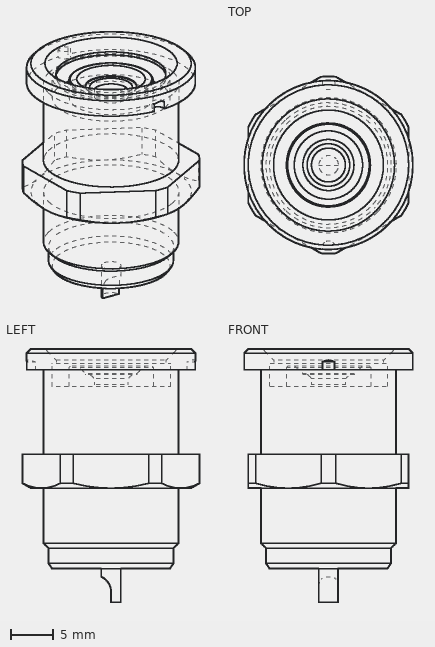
import cadquery as cq
import math

TOTAL_HEIGHT = 30.0
PIN_LENGTH = 4.0
COLLAR_CHAMFER_HEIGHT = 0.6
COLLAR_TOP_Z = 6.42
BODY_BOTTOM_Z = 7.0
NUT_BOTTOM_Z = 13.5
NUT_HEIGHT = 4.02
FLANGE_THICKNESS = 2.5
FLANGE_CHAMFER = 0.5

FLANGE_DIAMETER = 20.0
BODY_DIAMETER = 16.02
COLLAR_DIAMETER = 14.82
BODY_END_DIAMETER = 13.98
PIN_DIAMETER = 2.3

NUT_ACROSS_FLATS = 19.0
NUT_ACROSS_CORNERS = 21.0
NUT_CHAMFER_ANGLE = 30.0

MOUTH_RADIUS = 7.83
LIP_RADIUS = 6.5
LIP_TOP_DEPTH = MOUTH_RADIUS - LIP_RADIUS
LIP_BOTTOM_DEPTH = 1.7
SOCKET_RADIUS = 7.0
SOCKET_DEPTH = 4.4

BOSS_RADIUS = 4.98
BOSS_CHAMFER = 0.15
BOSS_TOP_DEPTH = 2.0
FUNNEL_TOP_RADIUS = 4.05
FUNNEL_BOTTOM_RADIUS = 3.03
FUNNEL_BOTTOM_DEPTH = 2.9
RING_DEPTH = 3.0
RING_INNER_RADIUS = 2.52
BORE_RADIUS = 2.0
BORE_TOP_DEPTH = RING_DEPTH + RING_INNER_RADIUS - BORE_RADIUS
BORE_DEPTH = 4.2

NOTCH_RADIUS = 0.75
NOTCH_OFFSET = 9.7
NOTCH_DEPTH = 0.93
NOTCH_TIP_RISE = 0.3

SOLDER_CUT_RADIUS = 2.0
SOLDER_CUT_CENTER_Z = 1.2


def revolve_profile(points):
    """Turn a closed (radius, height) outline around the Z axis."""
    profile = cq.Workplane("XZ").polyline(points).close()
    return profile.revolve(360, (0, 0, 0), (0, 1, 0))


def make_body():
    flange_radius = FLANGE_DIAMETER / 2
    body_radius = BODY_DIAMETER / 2
    collar_radius = COLLAR_DIAMETER / 2
    flange_bottom_z = TOTAL_HEIGHT - FLANGE_THICKNESS
    return revolve_profile([
        (0, PIN_LENGTH),
        (BODY_END_DIAMETER / 2, PIN_LENGTH),
        (collar_radius, PIN_LENGTH + COLLAR_CHAMFER_HEIGHT),
        (collar_radius, COLLAR_TOP_Z),
        (body_radius, BODY_BOTTOM_Z),
        (body_radius, flange_bottom_z),
        (flange_radius, flange_bottom_z),
        (flange_radius, TOTAL_HEIGHT - FLANGE_CHAMFER),
        (flange_radius - FLANGE_CHAMFER, TOTAL_HEIGHT),
        (0, TOTAL_HEIGHT),
    ])


def make_nut():
    """Hexagon with corners on Y, turned corners and a chamfered lower rim."""
    hexagon = (
        cq.Workplane("XY", origin=(0, 0, NUT_BOTTOM_Z))
        .polygon(6, NUT_ACROSS_FLATS, circumscribed=True)
        .extrude(NUT_HEIGHT)
    )
    corner_radius = NUT_ACROSS_CORNERS / 2
    rim_radius = NUT_ACROSS_FLATS / 2
    chamfer_height = (corner_radius - rim_radius) * math.tan(math.radians(NUT_CHAMFER_ANGLE))
    turned_blank = revolve_profile([
        (0, NUT_BOTTOM_Z),
        (rim_radius, NUT_BOTTOM_Z),
        (corner_radius, NUT_BOTTOM_Z + chamfer_height),
        (corner_radius, NUT_BOTTOM_Z + NUT_HEIGHT),
        (0, NUT_BOTTOM_Z + NUT_HEIGHT),
    ])
    return hexagon.intersect(turned_blank)


def make_socket():
    """Space inside the flange: mouth, undercut, boss funnel and blind bore."""
    radii_and_depths = [
        (0, 0),
        (MOUTH_RADIUS, 0),
        (LIP_RADIUS, LIP_TOP_DEPTH),
        (LIP_RADIUS, LIP_BOTTOM_DEPTH),
        (SOCKET_RADIUS, LIP_BOTTOM_DEPTH),
        (SOCKET_RADIUS, SOCKET_DEPTH),
        (BOSS_RADIUS, SOCKET_DEPTH),
        (BOSS_RADIUS, BOSS_TOP_DEPTH + BOSS_CHAMFER),
        (BOSS_RADIUS - BOSS_CHAMFER, BOSS_TOP_DEPTH),
        (FUNNEL_TOP_RADIUS, BOSS_TOP_DEPTH),
        (FUNNEL_BOTTOM_RADIUS, FUNNEL_BOTTOM_DEPTH),
        (FUNNEL_BOTTOM_RADIUS, RING_DEPTH),
        (RING_INNER_RADIUS, RING_DEPTH),
        (BORE_RADIUS, BORE_TOP_DEPTH),
        (BORE_RADIUS, BORE_DEPTH),
        (0, BORE_DEPTH),
    ]
    return revolve_profile([(radius, TOTAL_HEIGHT - depth) for radius, depth in radii_and_depths])


def make_notch(side):
    """Cone-tipped hole that breaks out through the flange edge on one Y side."""
    bottom_z = TOTAL_HEIGHT - FLANGE_THICKNESS
    shoulder_z = bottom_z + NOTCH_DEPTH
    drill = revolve_profile([
        (0, bottom_z),
        (NOTCH_RADIUS, bottom_z),
        (NOTCH_RADIUS, shoulder_z),
        (0, shoulder_z + NOTCH_TIP_RISE),
    ])
    return drill.translate((0, side * NOTCH_OFFSET, 0))


def make_pin():
    """Round pin with its +Y half cut away, ending in a concave runout."""
    pin = cq.Workplane("XY").circle(PIN_DIAMETER / 2).extrude(PIN_LENGTH)
    runout = (
        cq.Workplane("YZ", origin=(0, SOLDER_CUT_RADIUS, SOLDER_CUT_CENTER_Z))
        .circle(SOLDER_CUT_RADIUS)
        .extrude(PIN_DIAMETER, both=True)
    )
    flat = cq.Workplane("XY").box(
        2 * PIN_DIAMETER, PIN_DIAMETER, SOLDER_CUT_CENTER_Z, centered=(True, False, False)
    )
    return pin.cut(runout).cut(flat)


result = make_body().union(make_nut()).cut(make_socket())
for side in (-1, 1):
    result = result.cut(make_notch(side))
result = result.union(make_pin())